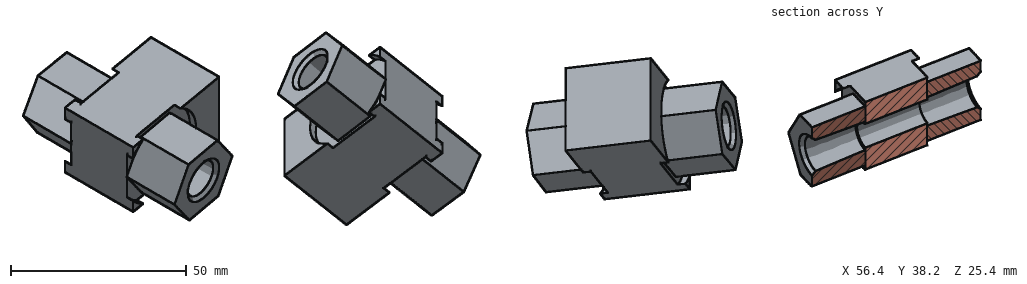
import cadquery as cq
import math

total_length = 56.39

block_width = 25.4
block_depth = 38.1
block_front_y = -12.7
spotface_diameter = 30.3
spotface_depth = 2.3
through_bore_diameter = 8.74

hex_across_flats = 22.225
hex_across_corners = hex_across_flats / math.cos(math.radians(30))
left_hex_turn = -0.7
right_hex_turn = 1.0

entry_diameter = 13.9
entry_depth = 1.2
taper_start_diameter = 11.5
pipe_taper = 1 / 16

seat_x = block_width / 2 - spotface_depth
end_x = total_length / 2
hex_length = end_x - seat_x
taper_length = hex_length - entry_depth
taper_end_diameter = taper_start_diameter - pipe_taper * taper_length


def make_block():
    body = cq.Workplane("XY").box(
        block_width, block_depth, block_width, centered=(True, False, True)
    ).translate((0, block_front_y, 0))
    for side in (-1, 1):
        spotface = (
            cq.Workplane("YZ", origin=(side * seat_x, 0, 0))
            .circle(spotface_diameter / 2)
            .extrude(side * spotface_depth)
        )
        body = body.cut(spotface)
    bore = (
        cq.Workplane("YZ")
        .circle(through_bore_diameter / 2)
        .extrude(seat_x, both=True)
    )
    return body.cut(bore)


def make_fitting_bore():
    """Revolved cutter for the bore of the fitting on the +X side."""
    return (
        cq.Workplane("XY")
        .moveTo(seat_x, 0)
        .lineTo(seat_x, taper_end_diameter / 2)
        .lineTo(end_x - entry_depth, taper_start_diameter / 2)
        .lineTo(end_x, entry_diameter / 2)
        .lineTo(end_x, 0)
        .close()
        .revolve(360, (0, 0, 0), (1, 0, 0))
    )


def make_fitting(side, turn):
    """Hexagonal fitting on the +X (side = 1) or -X (side = -1) end, turned about X."""
    hexagon = (
        cq.Workplane("YZ", origin=(seat_x, 0, 0))
        .polygon(6, hex_across_corners)
        .extrude(hex_length)
    )
    fitting = hexagon.cut(make_fitting_bore())
    if side < 0:
        fitting = fitting.mirror("YZ")
    return fitting.rotate((0, 0, 0), (1, 0, 0), turn)


block = make_block()
fittings = [
    make_fitting(side, turn)
    for side, turn in ((-1, left_hex_turn), (1, right_hex_turn))
]

result = cq.Compound.makeCompound([block.val(), *[fitting.val() for fitting in fittings]])